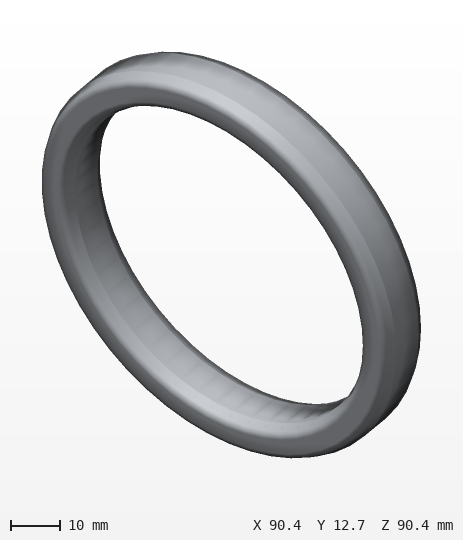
import cadquery as cq
import math

outer_radius = 45.2
inner_radius = 37.3
ring_width = 12.7
land_width = 7.2
edge_inset = 2.3
taper_angle = 25.0

angle = math.radians(taper_angle)
half_width = ring_width / 2
half_land = land_width / 2
edge_depth = half_width - half_land
round_radius = (
    (edge_inset - edge_depth * math.tan(angle))
    / (math.cos(angle) - math.tan(angle) * (1 - math.sin(angle)))
)
cone_inset = edge_inset - round_radius * math.cos(angle)
cone_end = half_width - round_radius * (1 - math.sin(angle))

mid_angle = (angle + math.pi / 2) / 2
mid_inset = edge_inset - round_radius * math.cos(mid_angle)
mid_height = half_width - round_radius * (1 - math.sin(mid_angle))

profile = (
    cq.Workplane("XY")
    .moveTo(outer_radius, -half_land)
    .lineTo(outer_radius, half_land)
    .lineTo(outer_radius - cone_inset, cone_end)
    .threePointArc((outer_radius - mid_inset, mid_height), (outer_radius - edge_inset, half_width))
    .lineTo(inner_radius + edge_inset, half_width)
    .threePointArc((inner_radius + mid_inset, mid_height), (inner_radius + cone_inset, cone_end))
    .lineTo(inner_radius, half_land)
    .lineTo(inner_radius, -half_land)
    .lineTo(inner_radius + cone_inset, -cone_end)
    .threePointArc((inner_radius + mid_inset, -mid_height), (inner_radius + edge_inset, -half_width))
    .lineTo(outer_radius - edge_inset, -half_width)
    .threePointArc((outer_radius - mid_inset, -mid_height), (outer_radius - cone_inset, -cone_end))
    .close()
)

result = profile.revolve(360, (0, 0, 0), (0, 1, 0))